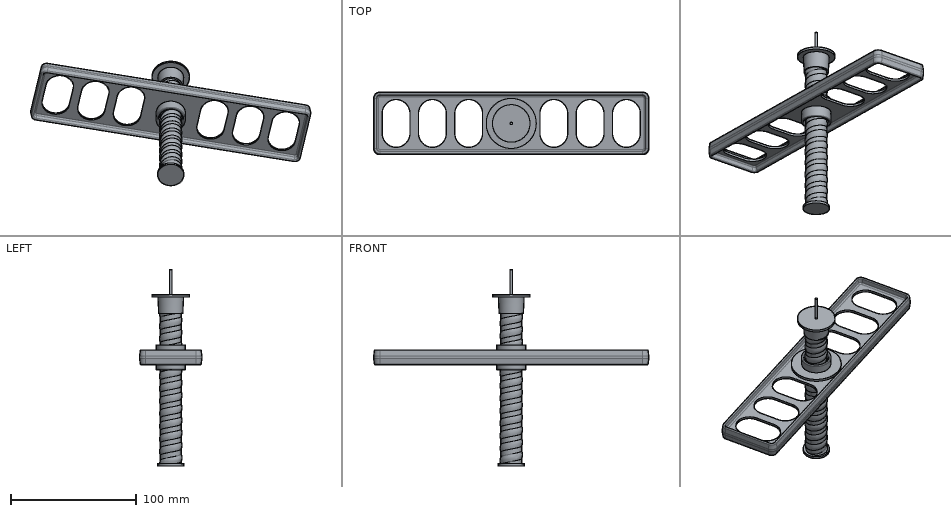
import cadquery as cq
import math

total_height = 157.0

foot_radius = 10.5
foot_height = 2.0
core_radius = 8.4
ridge_height = 0.7
ridge_width = 6.0
ridge_sink = 0.4
pitch = 10.0
ridge_phase_height = -0.8

rod_radius = 1.0
rod_length = 20.0
cap_disc_radius = 15.0
cap_disc_height = 2.0
collar_height = 13.0
collar_top_radius = 10.4
collar_bottom_radius = 9.8

frame_length = 220.0
frame_width = 50.0
frame_height = 12.0
frame_middle = 87.0
plate_thickness = 2.0
frame_corner_radius = 5.0
rim_draft = 8.0
crest_radius = 0.9
rim_foot_round = 1.2

windows_per_side = 3
window_width = 22.0
window_length = 38.0
window_pitch = 29.0
first_window_x = 34.0

nut_radius = 11.75
nut_bore_radius = 10.0
nut_height = 20.0
nut_flange_radius = 20.0
nut_flange_height = 2.0
nut_edge_round = 0.5

cap_top = total_height - rod_length
collar_top = cap_top - cap_disc_height
collar_bottom = collar_top - collar_height
plate_top = frame_middle + plate_thickness / 2
rim_height = (frame_height - plate_thickness) / 2
plate_bottom = plate_top - plate_thickness
nut_bottom = frame_middle - nut_height / 2

sin_draft = math.sin(math.radians(rim_draft))
cos_draft = math.cos(math.radians(rim_draft))
crest_tangent_height = rim_height - crest_radius * (1 - sin_draft)
outer_tangent = (crest_tangent_height * sin_draft / cos_draft, crest_tangent_height)
crest = (outer_tangent[0] + crest_radius * cos_draft, rim_height)
inner_tangent = (crest[0] + crest_radius * cos_draft, crest_tangent_height)
foot_drop = rim_foot_round * (1 - sin_draft)
plate_inset = 2 * crest[0] + foot_drop / cos_draft
foot_start = (plate_inset - rim_foot_round * cos_draft, foot_drop)
foot_angle = math.radians((90 + rim_draft) / 2)
foot_middle = (
    plate_inset - rim_foot_round * math.cos(foot_angle),
    rim_foot_round * (1 - math.sin(foot_angle)),
)
foot_end = (plate_inset, 0)


def disc(radius, bottom, height):
    """Upright cylinder on the Z axis."""
    return cq.Workplane("XY").workplane(offset=bottom).circle(radius).extrude(height)


def helical_ridge():
    """Rounded ridge on the core, one right-hand turn per pitch, running past both ends."""
    start = ridge_phase_height - pitch
    turns = math.ceil((collar_bottom - start) / pitch) + 1
    helix = cq.Wire.makeHelix(pitch, turns * pitch, core_radius, center=cq.Vector(0, 0, start))
    root = core_radius - ridge_sink
    half_width = ridge_width / 2
    profile = (
        cq.Workplane("XZ")
        .moveTo(root, start - half_width)
        .lineTo(core_radius, start - half_width)
        .threePointArc((core_radius + ridge_height, start), (core_radius, start + half_width))
        .lineTo(root, start + half_width)
        .close()
    )
    return profile.sweep(cq.Workplane(helix), isFrenet=True)


def make_screw():
    core_height = collar_bottom - foot_height
    envelope = disc(2 * core_radius, foot_height, core_height)
    ridge = helical_ridge().intersect(envelope)
    core = disc(core_radius, foot_height, core_height)
    return core.union(ridge).union(disc(foot_radius, 0, foot_height))


def make_cap():
    collar = (
        cq.Workplane("XY")
        .workplane(offset=collar_bottom)
        .circle(collar_bottom_radius)
        .workplane(offset=collar_height)
        .circle(collar_top_radius)
        .loft()
    )
    cap_disc = disc(cap_disc_radius, collar_top, cap_disc_height)
    rod = disc(rod_radius, cap_top, rod_length)
    return collar.union(cap_disc).union(rod)


def rim_path():
    """Outline of the frame at mid-height, starting halfway along the -X side."""
    x = frame_length / 2
    y = frame_width / 2
    r = frame_corner_radius
    return (
        cq.Workplane("XY")
        .workplane(offset=frame_middle)
        .moveTo(-x, 0)
        .lineTo(-x, y - r)
        .radiusArc((-x + r, y), r)
        .lineTo(x - r, y)
        .radiusArc((x, y - r), r)
        .lineTo(x, r - y)
        .radiusArc((x - r, -y), r)
        .lineTo(r - x, -y)
        .radiusArc((-x, r - y), r)
        .close()
    )


def make_rim():
    """Upper and lower rim in one, swept around the frame.

    The section starts from the outer edge: a short upright band as tall as the plate, then a
    drafted wall, a fully rounded crest, a drafted inner wall and a rounding into the plate.
    """
    def upper(point):
        return (-frame_length / 2 + point[0], plate_top + point[1])

    def lower(point):
        return (-frame_length / 2 + point[0], plate_bottom - point[1])

    section = (
        cq.Workplane("XZ")
        .moveTo(*upper((0, 0)))
        .lineTo(*upper(outer_tangent))
        .threePointArc(upper(crest), upper(inner_tangent))
        .lineTo(*upper(foot_start))
        .threePointArc(upper(foot_middle), upper(foot_end))
        .lineTo(*lower(foot_end))
        .threePointArc(lower(foot_middle), lower(foot_start))
        .lineTo(*lower(inner_tangent))
        .threePointArc(lower(crest), lower(outer_tangent))
        .lineTo(*lower((0, 0)))
        .close()
    )
    return section.sweep(rim_path())


def make_frame():
    plate = (
        cq.Workplane("XY")
        .workplane(offset=plate_bottom)
        .rect(frame_length - 2 * plate_inset, frame_width - 2 * plate_inset)
        .extrude(plate_thickness)
        .edges("|Z")
        .fillet(frame_corner_radius - plate_inset)
    )
    frame = plate.union(make_rim())
    window_centers = []
    for index in range(windows_per_side):
        x = first_window_x + index * window_pitch
        window_centers += [(x, 0), (-x, 0)]
    windows = (
        cq.Workplane("XY")
        .workplane(offset=plate_bottom)
        .pushPoints(window_centers)
        .slot2D(window_length, window_width, 90)
        .extrude(plate_thickness)
    )
    nut_hole = disc(nut_radius, nut_bottom, nut_height)
    return frame.cut(windows).cut(nut_hole)


def make_nut():
    bore = disc(nut_bore_radius, nut_bottom, nut_height)
    sleeve = disc(nut_radius, nut_bottom, nut_height).cut(bore)
    sleeve = sleeve.edges("%CIRCLE").fillet(nut_edge_round)
    flange = disc(nut_flange_radius, plate_top, nut_flange_height)
    return sleeve.union(flange.cut(bore))


screw = make_screw()
cap = make_cap()
frame = make_frame()
nut = make_nut()

result = cq.Compound.makeCompound([screw.val(), cap.val(), frame.val(), nut.val()])